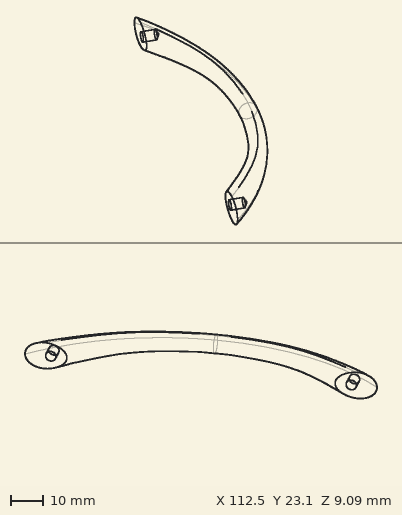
import cadquery as cq
import math

span = 112.5
rise = 23.08
middle_diameter = 6.0
foot_length = 13.4
foot_width = 8.97
foot_thickness = 8.8
swell_start = 15.0
swell_end = 38.0

hole_spacing = 96.0
hole_diameter = 3.3
hole_depth = 4.5
drill_point_angle = 118.0

sections_per_side = 10
trim_allowance = 7.0

outer_radius = ((span / 2) ** 2 + rise**2) / (2 * rise)
arch_center_y = rise - outer_radius
foot_tip_angle = math.degrees(math.asin(span / 2 / outer_radius))
foot_center_angle = math.degrees(math.atan2((span - foot_length) / 2, -arch_center_y))

loft_end_angle = foot_tip_angle + trim_allowance


def section_width(angle):
    """Width along Z, growing with the square of the angle from the middle."""
    growth = min((angle / foot_center_angle) ** 2, 1.0)
    return middle_diameter + (foot_width - middle_diameter) * growth


def section_thickness(angle):
    """Radial thickness: constant in the middle, then easing up to the foot."""
    fraction = (abs(angle) - swell_start) / (swell_end - swell_start)
    fraction = min(max(fraction, 0.0), 1.0)
    ease = fraction**2 * (3 - 2 * fraction)
    return middle_diameter + (foot_thickness - middle_diameter) * ease


def section(angle):
    """Elliptical wire square to the arch, touching the outer arc."""
    turn = math.radians(angle)
    outward = cq.Vector(math.sin(turn), math.cos(turn), 0)
    along = cq.Vector(math.cos(turn), -math.sin(turn), 0)
    thickness = section_thickness(angle)
    center = cq.Vector(0, arch_center_y, 0) + outward * (outer_radius - thickness / 2)
    plane = cq.Plane(origin=center, xDir=outward, normal=along)
    ellipse = cq.Workplane(plane).ellipse(thickness / 2, section_width(angle) / 2)
    return ellipse.wires().val()


def grip_half(side):
    """Half of the grip from the middle to one foot, side being -1 or 1."""
    step = side * loft_end_angle / sections_per_side
    wires = [section(i * step) for i in range(sections_per_side + 1)]
    return cq.Workplane(cq.Solid.makeLoft(wires))


def mounting_side():
    """Block covering everything beyond the mounting plane Y = 0."""
    return cq.Workplane().box(2 * span, span, span).translate((0, -span / 2, 0))


def screw_hole(x):
    """Blind pilot hole with a drill point, running along +Y from the foot."""
    radius = hole_diameter / 2
    point_depth = radius / math.tan(math.radians(drill_point_angle / 2))
    profile = (
        cq.Workplane("XY")
        .lineTo(radius, 0)
        .lineTo(radius, hole_depth)
        .lineTo(0, hole_depth + point_depth)
        .close()
    )
    return profile.revolve(360, (0, 0, 0), (0, 1, 0)).translate((x, 0, 0))


result = grip_half(-1).union(grip_half(1)).cut(mounting_side())
for x in (-hole_spacing / 2, hole_spacing / 2):
    result = result.cut(screw_hole(x))